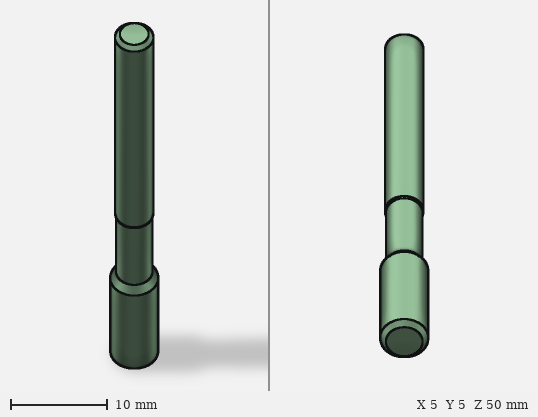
import cadquery as cq

total_length = 50.0
head_length = 12.0
head_taper_length = 1.0
neck_top = 21.85
step_chamfer = 0.25
bottom_chamfer = 0.6
top_chamfer = 0.5

head_radius = 2.5
shank_radius = 2.0
neck_radius = 1.9

head_taper_top = head_length + head_taper_length
top_face_radius = shank_radius - top_chamfer
bottom_face_radius = head_radius - bottom_chamfer

profile = [
    (0, 0),
    (bottom_face_radius, 0),
    (head_radius, bottom_chamfer),
    (head_radius, head_length),
    (neck_radius, head_taper_top),
    (neck_radius, neck_top),
    (shank_radius, neck_top + step_chamfer),
    (shank_radius, total_length - top_chamfer),
    (top_face_radius, total_length),
    (0, total_length),
]

result = cq.Workplane("XZ").polyline(profile).close().revolve(360, (0, 0), (0, 1))